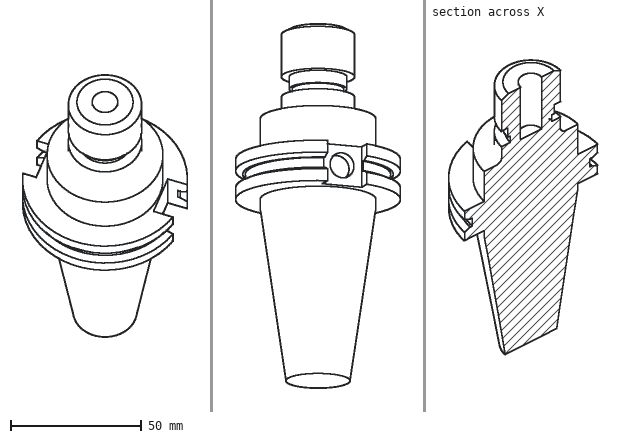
import cadquery as cq
import math

total_height = 138.4

gauge_radius = 22.3
taper_height = 68.2
taper_ratio = 7 / 24
shank_end_radius = gauge_radius - taper_height * taper_ratio / 2

flange_radius = 31.7
flange_bottom = 71.5
flange_height = 15.9
flange_top = flange_bottom + flange_height
flange_middle = flange_bottom + flange_height / 2
groove_radius = 28.0
groove_floor_width = 4.0
groove_mouth_width = 6.5
groove_lip_radius = 28.9

slot_width = 16.2
left_slot_floor = 25.2
right_slot_floor = 22.7

body_top = 103.3
collar_radius = 14.1
collar_top = 111.9
collar_fillet = 2.5

neck_radius = 10.0
neck_top = 115.1
nut_skirt_radius = 11.0
nut_bottom = 120.0
nut_radius = collar_radius
nut_chamfer_height = 1.8
nut_face_radius = 10.8

hole_diameter = 9.8
bore_depth = 27.7
side_hole_depth = 5.1


def make_revolved_body():
    """Revolve the half section of the whole holder about Z."""
    fillet_center_radius = collar_radius + collar_fillet
    fillet_middle = (
        fillet_center_radius - collar_fillet * math.cos(math.pi / 4),
        body_top + collar_fillet * (1 - math.sin(math.pi / 4)),
    )
    section = (
        cq.Workplane("XZ")
        .lineTo(shank_end_radius, 0)
        .lineTo(gauge_radius, taper_height)
        .lineTo(gauge_radius, flange_bottom)
        .lineTo(flange_radius, flange_bottom)
        .lineTo(flange_radius, flange_middle - groove_mouth_width / 2)
        .lineTo(groove_lip_radius, flange_middle - groove_floor_width / 2)
        .lineTo(groove_radius, flange_middle - groove_floor_width / 2)
        .lineTo(groove_radius, flange_middle + groove_floor_width / 2)
        .lineTo(groove_lip_radius, flange_middle + groove_floor_width / 2)
        .lineTo(flange_radius, flange_middle + groove_mouth_width / 2)
        .lineTo(flange_radius, flange_top)
        .lineTo(gauge_radius, flange_top)
        .lineTo(gauge_radius, body_top)
        .lineTo(fillet_center_radius, body_top)
        .threePointArc(fillet_middle, (collar_radius, body_top + collar_fillet))
        .lineTo(collar_radius, collar_top)
        .lineTo(neck_radius, collar_top)
        .lineTo(neck_radius, neck_top)
        .lineTo(nut_skirt_radius, neck_top)
        .lineTo(nut_skirt_radius, nut_bottom)
        .lineTo(nut_radius, nut_bottom)
        .lineTo(nut_radius, total_height - nut_chamfer_height)
        .lineTo(nut_face_radius, total_height)
        .lineTo(0, total_height)
        .close()
    )
    return section.revolve(360, (0, 0, 0), (0, 1, 0))


def make_slot(side, floor_distance):
    """Cutter for a drive slot; side is -1 for -X and +1 for +X."""
    depth = flange_radius - floor_distance
    return (
        cq.Workplane("XY")
        .box(depth, slot_width, flange_height)
        .translate((side * (floor_distance + depth / 2), 0, flange_middle))
    )


def make_bore():
    """Cutter for the blind bore in the nut face."""
    return (
        cq.Workplane("XY", origin=(0, 0, total_height))
        .circle(hole_diameter / 2)
        .extrude(-bore_depth)
    )


def make_side_hole():
    """Cutter for the blind hole in the floor of the -X slot."""
    return (
        cq.Workplane("YZ", origin=(-left_slot_floor, 0, flange_middle))
        .circle(hole_diameter / 2)
        .extrude(side_hole_depth)
    )


result = (
    make_revolved_body()
    .cut(make_slot(-1, left_slot_floor))
    .cut(make_slot(1, right_slot_floor))
    .cut(make_bore())
    .cut(make_side_hole())
)